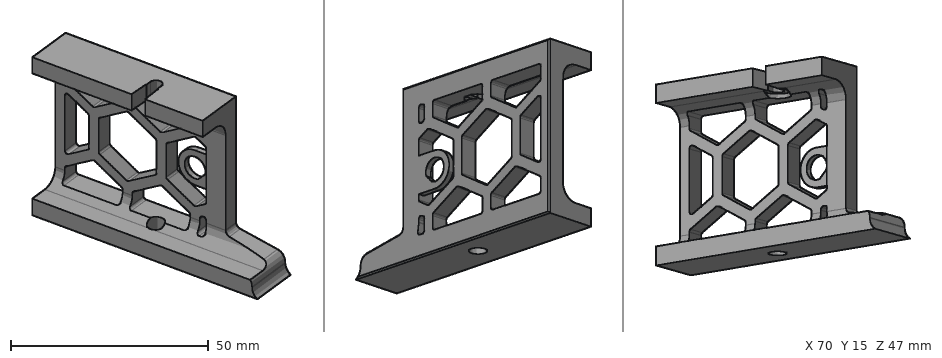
import cadquery as cq
import math

length = 70.0
depth = 15.0
height = 47.0
mid_z = height / 2

body_length = 53.0
web_thickness = 5.0
lower_flange_thickness = 5.0
upper_flange_thickness = 4.8
inner_radius = 4.5
back_chamfer = 0.4

toe_root_z = 8.3
toe_end_x = 68.3
toe_end_z = 5.75
toe_tip_arc_z = 3.0
toe_root_radius = 1.5
toe_end_radius = 3.0

hex_flats = 18.0
rib_width = 3.0
hex_center_x = 22.5
window_left = 3.0
window_right = 46.9
window_margin_z = 6.0
window_radius = 0.8
notch_widening = 0.5

lug_x = 41.15
lug_z = 22.2
lug_radius = 5.2
lug_thickness = 1.75
lug_hole_diameter = 6.45
lug_flat_distance = 2.9

screw_x = 33.0
screw_y = 7.7
slot_width = 3.4
mouth_inner_width = 3.7
mouth_outer_width = 4.2
mouth_depth = 6.1
head_diameter = 6.9
head_clearance = 7.0
lower_hole_diameter = 4.7


def prism(points, y_start, y_end):
    """Extrude a closed XZ polygon along Y."""
    plane = cq.Workplane("XZ", origin=(0, y_start, 0))
    return plane.polyline(points).close().extrude(y_start - y_end)


def edge_near(x, z):
    """Select the edge along Y that stands at the given X and Z."""
    reach = 0.1
    return cq.selectors.BoxSelector(
        (x - reach, 0, z - reach), (x + reach, depth, z + reach)
    )


def side_outline():
    """Full-depth block with the toe and the chamfered back edge."""
    block = (
        cq.Workplane("XZ")
        .moveTo(0, 0)
        .lineTo(0, height)
        .lineTo(body_length, height)
        .lineTo(body_length, toe_root_z)
        .lineTo(toe_end_x, toe_end_z)
        .lineTo(toe_end_x, toe_tip_arc_z)
        .tangentArcPoint((length, 0), relative=False)
        .close()
        .extrude(-depth)
    )
    block = block.edges(edge_near(body_length, toe_root_z)).fillet(toe_root_radius)
    block = block.edges(edge_near(toe_end_x, toe_end_z)).fillet(toe_end_radius)
    return block.faces(">Y").edges().chamfer(back_chamfer)


def channel_hollow():
    """Space between the flanges, rounded where it meets the web."""
    hollow_height = height - lower_flange_thickness - upper_flange_thickness
    hollow_depth = depth - web_thickness
    return (
        cq.Workplane("XY")
        .box(length, hollow_depth, hollow_height, centered=False)
        .translate((0, 0, lower_flange_thickness))
        .edges("|X and >Y")
        .fillet(inner_radius)
    )


def hexagon(center_x, center_z):
    """Hexagonal prism with a corner pointing up."""
    corner_radius = hex_flats / math.sqrt(3)
    points = []
    for corner in range(6):
        angle = math.radians(30 + 60 * corner)
        points.append((
            center_x + corner_radius * math.cos(angle),
            center_z + corner_radius * math.sin(angle),
        ))
    return prism(points, 0, depth)


def honeycomb_windows():
    """Staggered hexagons trimmed to the window frame, with rounded corners."""
    pitch_x = hex_flats + rib_width
    pitch_z = pitch_x * math.sqrt(3) / 2
    frame = cq.Workplane("XY").box(
        window_right - window_left, depth, height - 2 * window_margin_z, centered=False
    ).translate((window_left, 0, window_margin_z))

    windows = cq.Workplane("XY")
    for row in (-1, 0, 1):
        row_shift = pitch_x / 2 if row else 0
        for column in (-1, 0, 1):
            cell = hexagon(
                hex_center_x + column * pitch_x + row_shift, mid_z + row * pitch_z
            )
            window = cell.intersect(frame)
            if row == -1 and column == 1:
                window = window.union(notch_flare())
            windows = windows.add(window.edges("|Y").fillet(window_radius))
    return windows


def notch_flare():
    """Wedge that widens the lower right notch towards its foot."""
    flare_top = lower_flange_thickness + inner_radius
    return prism(
        [
            (window_right, flare_top),
            (window_right, window_margin_z),
            (window_right + notch_widening, window_margin_z),
        ],
        0,
        depth,
    )


def lug():
    """Round-ended tab with a hole that has one flat at its lower right."""
    front = depth - lug_thickness
    plane = cq.Workplane("XZ", origin=(0, front, 0))
    tab = plane.center(lug_x, lug_z).circle(lug_radius).extrude(-lug_thickness)
    root = prism(
        [
            (lug_x, lug_z - lug_radius),
            (window_right, lug_z - lug_radius),
            (window_right, lug_z + lug_radius),
            (lug_x, lug_z + lug_radius),
        ],
        front,
        depth,
    )
    hole = plane.center(lug_x, lug_z).circle(lug_hole_diameter / 2).extrude(-lug_thickness)
    beyond_flat = (
        cq.Workplane("XY")
        .box(lug_hole_diameter, depth, lug_hole_diameter, centered=(False, False, True))
        .translate((lug_flat_distance, 0, 0))
        .rotate((0, 0, 0), (0, 1, 0), 45)
        .translate((lug_x, 0, lug_z))
    )
    return tab.union(root).cut(hole.cut(beyond_flat))


def upright_cylinder(diameter, bottom, top):
    """Vertical cylinder on the screw axis."""
    plane = cq.Workplane("XY", origin=(screw_x, screw_y, bottom))
    return plane.circle(diameter / 2).extrude(top - bottom)


def screw_passage():
    """Upper slot with its flared mouth, head clearance below it, and lower hole."""
    flange_bottom = height - upper_flange_thickness
    slot_end = upright_cylinder(slot_width, flange_bottom, height)
    slot = (
        cq.Workplane("XY", origin=(screw_x, 0, flange_bottom))
        .rect(slot_width, 2 * screw_y)
        .extrude(upper_flange_thickness)
    )
    mouth = (
        cq.Workplane("XY", origin=(screw_x, 0, flange_bottom))
        .polyline([
            (-mouth_outer_width / 2, 0),
            (mouth_outer_width / 2, 0),
            (mouth_inner_width / 2, mouth_depth),
            (-mouth_inner_width / 2, mouth_depth),
        ])
        .close()
        .extrude(upper_flange_thickness)
    )
    head = upright_cylinder(head_diameter, flange_bottom - head_clearance, flange_bottom)
    lower_hole = upright_cylinder(lower_hole_diameter, 0, lower_flange_thickness + inner_radius)
    return slot_end.union(slot).union(mouth).union(head).union(lower_hole)


result = side_outline().cut(channel_hollow())
for opening in honeycomb_windows().vals():
    result = result.cut(cq.Workplane(opening))
result = result.union(lug()).cut(screw_passage())